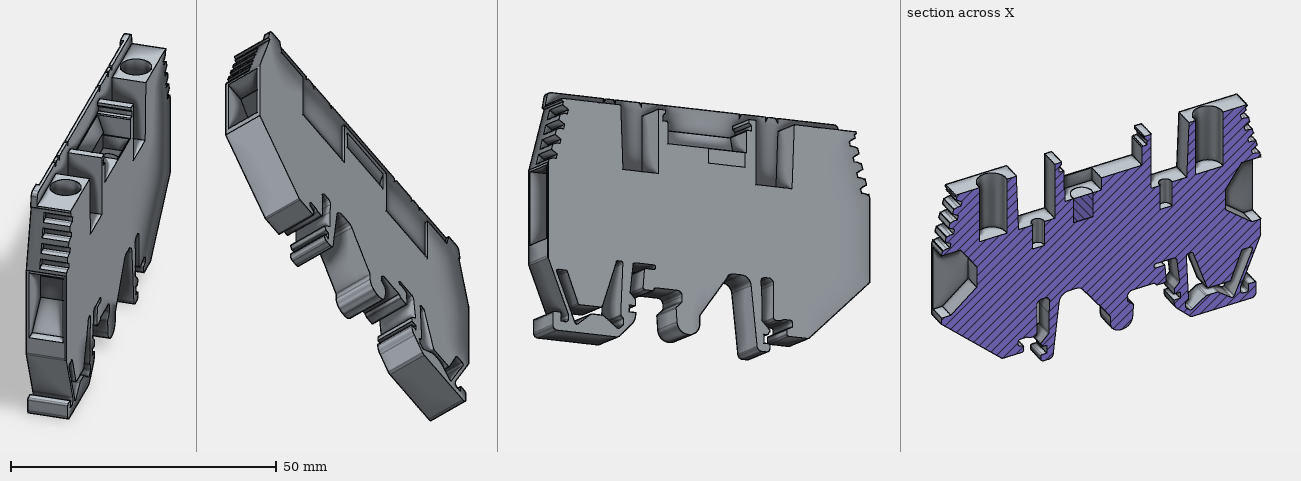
import cadquery as cq
import math

WIDTH = 7.9
HEIGHT = 47.4
HALF_LENGTH = 34.25
DECK_Z = 44.9
SHOULDER_Z = 32.25
SPRING_ROOF_Z = 14.7

WALL_THICK = 1.2
WALL_END_TOP = 30.8
WALL_CORNER_RADIUS = 0.95

LIP_Y = 31.4
LIP_INSET = 0.15
LIP_EDGE_Z = 44.5
LIP_UNDERCUT = 0.4
LIP_ROOT_Z = 44.25

PANEL_DEPTH = 0.6
PANEL_RIM_Z = 44.5
PANEL_FLOOR_Z = 32.5
PANEL_TOP_HALF = 27.7
PANEL_RIM_HALF = 27.05
PANEL_LEGS = ((6.5, 20.15), (-20.75, -7.2))

NOTCHES = ((18.15, 17.55), (15.55, 16.0), (9.9, 10.5), (-10.8, -11.3), (-16.4, -16.85), (-19.0, -18.4))
NOTCH_DEPTH = 0.9

WINDOW_Y = (-6.15, 5.55)
WINDOW_TOP_Z = 43.1
WINDOW_FLOOR_Z = 38.4
WINDOW_SLOPE_END_Z = 38.9
WINDOW_DEPTH = 1.4

BAY_FLOOR_Z = PANEL_FLOOR_Z
BAY_DRAFT = 0.5
BAYS = ((10.0, 18.15), (-10.75, -18.8))

PIT_Y = (-8.7, 7.95)
PIT_MOUTH_OFFSET = 0.55
PIT_MOUTH_LIP_Z = 44.25
PIT_GROOVE_OFFSET = 1.1
PIT_GROOVE_TOP_Z = 43.7
PIT_LEDGE_Z = 42.75
PIT_LEDGE_CHAMFER = 0.2
PIT_FLOOR_Z = WINDOW_FLOOR_Z
PIT_WALL_X = WALL_THICK + WINDOW_DEPTH
POCKET_RIM = 0.2
POCKET_END_Y = 0.0
POCKET_FLOOR_Z = 35.6

SCREW_BORE_DIA = 5.9
SCREW_BORE_X = 4.45
SCREW_BORE_Y = 23.15
SCREW_BORE_FLOOR_Z = BAY_FLOOR_Z
TEST_BORE_DIA = 2.55
TEST_BORE_X = 4.25
TEST_BORE_YS = (13.4, -13.9)
TEST_BORE_DEPTH = 5.5

PIN_DIA = 4.3
PIN_X = 4.6
PIN_Y = 3.85
PIN_LENGTH = 5.5

GRIP_COUNT = 4
GRIP_PITCH_Z = 2.95
GRIP_TOP_Z = 43.65
GRIP_MOUTH_HEIGHT = 1.9
GRIP_DEPTH = 1.2
GRIP_ROOF_DROP = 0.8
GRIP_FLOOR_DROP = 1.65
GRIP_FLOOR_EDGE = 0.35
GRIP_START_X = 2.6

FUNNEL_X = (0.6, 7.25)
FUNNEL_Z = (17.6, 31.8)
FUNNEL_BACK_Z = (22.2, 26.85)
FUNNEL_SILL = 2.0
FUNNEL_CEILING = 4.1
FUNNEL_DEPTH = 7.55

PAD_RAISE = 0.1
PAD_WIDTH = WIDTH - 0.2
PAD_BOTTOM_Z = 13.8
PAD_BEVEL = 0.4

FRONT_Y = -HALF_LENGTH + PAD_RAISE
FRONT_LIP_ROOT_Y = -LIP_Y + LIP_UNDERCUT
SLANT = (FRONT_LIP_ROOT_Y - FRONT_Y) / (LIP_ROOT_Z - SHOULDER_Z)

UPPER_OUTLINE = [
    (FRONT_Y, SHOULDER_Z, 0),
    (FRONT_LIP_ROOT_Y, LIP_ROOT_Z, 0),
    (-LIP_Y, LIP_EDGE_Z, 0),
    (-LIP_Y + LIP_INSET, DECK_Z, 0),
    (LIP_Y - LIP_INSET, DECK_Z, 0),
    (LIP_Y, LIP_EDGE_Z, 0),
    (LIP_Y - LIP_UNDERCUT, LIP_ROOT_Z, 0),
    (HALF_LENGTH, SHOULDER_Z, 0),
    (HALF_LENGTH, 16.1, 0),
]
FIXED_HOOK = [
    (21.25, 3.9, 0.5),
    (16.6, 3.9, 0.4),
    (16.6, 5.3, 0.3),
    (17.75, 5.75, 0.2),
    (17.75, 7.05, 0.4),
    (15.95, 7.05, 0.35),
    (15.2, 6.7, 0.35),
    (13.8, 6.7, 0.5),
    (13.8, SPRING_ROOF_Z, 1.1),
]
SPRING_LEG = [
    (11.0, SPRING_ROOF_Z, 0.9),
    (11.2, 11.1, 0),
    (11.2, 6.45, 0.3),
    (13.1, 4.6, 0.2),
    (12.55, 3.8, 0.2),
    (11.7, 3.8, 0),
    (11.7, 2.05, 0),
    (13.0, 2.05, 0.35),
    (13.0, 0.4, 0.75),
    (10.35, 0.4, 0.95),
    (8.8, SPRING_ROOF_Z, 2.05),
]
CENTRE_FOOT = [
    (4.5, SPRING_ROOF_Z, 1.4),
    (-1.9, 5.95, 0.2),
    (-1.9, 2.05, 2.3),
    (-6.65, 2.05, 2.3),
    (-7.0, 7.0, 0.35),
    (-5.7, 8.2, 0.3),
    (-5.7, 10.35, 1.1),
    (-11.4, 10.35, 0),
    (-11.9, 9.7, 0.3),
    (-14.05, 9.7, 0.4),
    (-13.7, 13.85, 0.3),
    (-11.4, 13.85, 0.4),
    (-11.4, SPRING_ROOF_Z, 0.4),
]
LATCH_FOOT = [
    (-16.1, SPRING_ROOF_Z, 0.6),
    (-16.8, 8.85, 0.35),
    (-15.6, 7.7, 0.2),
    (-15.6, 6.45, 0),
    (-16.9, 6.45, 0),
    (-16.9, 5.15, 0),
    (-15.55, 5.15, 0),
    (-15.6, 3.55, 2.75),
    (-19.25, 0.0, 0.8),
    (-33.2, 0.0, 0.95),
    (-33.2, 3.55, 0.35),
    (-31.5, 3.55, 0.2),
    (-31.5, 1.85, 0.2),
    (-29.9, 1.85, 0.6),
    (-29.9, 3.2, 0.35),
    (FRONT_Y, PAD_BOTTOM_Z, 0),
]
LATCH_OPENING = [
    (-18.3, SPRING_ROOF_Z, 0.4),
    (-19.6, SPRING_ROOF_Z, 0.3),
    (-22.75, 5.4, 0.3),
    (-27.75, 5.4, 0.35),
    (-30.2, 11.8, 0.4),
    (-32.6, 11.8, 0.4),
    (-28.3, 1.4, 0.4),
    (-25.0, 3.9, 0.55),
    (-22.55, 3.9, 0.55),
    (-19.25, 1.6, 0.4),
    (-18.15, 2.55, 0.35),
    (-18.15, 3.7, 0.2),
    (-18.8, 4.25, 0.2),
]


def extrude_yz(sketch, x_start, x_end):
    """Extrude a closed YZ wire drawn at X = 0 between two X positions."""
    return sketch.extrude(x_end - x_start).translate((x_start, 0, 0))


def prism_yz(points, x_start, x_end):
    return extrude_yz(cq.Workplane("YZ").polyline(points).close(), x_start, x_end)


def prism_xz(points, y_range):
    """Extrude a closed XZ polygon along Y over a range."""
    low, high = y_range
    return cq.Workplane("XZ").polyline(points).close().extrude(low - high).translate((0, low, 0))


def box(x_range, y_range, z_range):
    sizes = [high - low for low, high in (x_range, y_range, z_range)]
    return cq.Workplane("XY").box(*sizes, centered=False).translate((x_range[0], y_range[0], z_range[0]))


def cylinder(diameter, x, y, z_low, z_high):
    return cq.Workplane("XY").circle(diameter / 2).extrude(z_high - z_low).translate((x, y, z_low))


def rounded_outline(corners):
    """Closed YZ wire through the corners, each with a tangent arc of its radius."""
    sketch = None
    for index, (y, z, radius) in enumerate(corners):
        corner = cq.Vector(y, z)
        before = cq.Vector(*corners[index - 1][:2])
        after = cq.Vector(*corners[(index + 1) % len(corners)][:2])
        to_before = (before - corner).normalized()
        to_after = (after - corner).normalized()
        half_angle = to_before.getAngle(to_after) / 2
        setback = radius / math.tan(half_angle)
        start = corner + to_before * setback
        if sketch is None:
            sketch = cq.Workplane("YZ").moveTo(start.x, start.y)
        else:
            sketch = sketch.lineTo(start.x, start.y)
        if radius > 0:
            bisector = (to_before + to_after).normalized()
            middle = corner + bisector * (radius / math.sin(half_angle) - radius)
            end = corner + to_after * setback
            sketch = sketch.threePointArc((middle.x, middle.y), (end.x, end.y))
    return sketch.close()


def housing_blank():
    outline = UPPER_OUTLINE + FIXED_HOOK + SPRING_LEG + CENTRE_FOOT + LATCH_FOOT
    blank = extrude_yz(rounded_outline(outline), 0, WIDTH)
    return blank.cut(extrude_yz(rounded_outline(LATCH_OPENING), 0, WIDTH))


def labelling_wall():
    corners = [
        (-LIP_Y, LIP_EDGE_Z, 0),
        (-WALL_END_TOP, HEIGHT, WALL_CORNER_RADIUS),
        (WALL_END_TOP, HEIGHT, WALL_CORNER_RADIUS),
        (LIP_Y, LIP_EDGE_Z, 0),
    ]
    return extrude_yz(rounded_outline(corners), 0, WALL_THICK)


def wall_notches():
    notches = cq.Workplane("YZ")
    for upright_y, slope_y in NOTCHES:
        triangle = [(upright_y, HEIGHT), (upright_y, HEIGHT - NOTCH_DEPTH), (slope_y, HEIGHT)]
        notches = notches.add(prism_yz(triangle, 0, WALL_THICK))
    return notches.combine()


def label_panel():
    rim = [
        (-PANEL_TOP_HALF, HEIGHT),
        (-PANEL_RIM_HALF, PANEL_RIM_Z),
        (PANEL_RIM_HALF, PANEL_RIM_Z),
        (PANEL_TOP_HALF, HEIGHT),
    ]
    panel = prism_yz(rim, 0, PANEL_DEPTH)
    for leg_y in PANEL_LEGS:
        panel = panel.union(box((0, PANEL_DEPTH), leg_y, (PANEL_FLOOR_Z, PANEL_RIM_Z)))
    return panel


def window():
    profile = [
        (0, WINDOW_TOP_Z),
        (WINDOW_DEPTH, WINDOW_SLOPE_END_Z),
        (WINDOW_DEPTH, WINDOW_FLOOR_Z),
        (0, WINDOW_FLOOR_Z),
    ]
    return prism_xz(profile, WINDOW_Y)


def side_bays():
    bays = cq.Workplane("YZ")
    for wall_y, block_y in BAYS:
        foot_y = block_y - math.copysign(BAY_DRAFT, block_y)
        profile = [(wall_y, DECK_Z), (wall_y, BAY_FLOOR_Z), (foot_y, BAY_FLOOR_Z), (block_y, DECK_Z)]
        bays = bays.add(prism_yz(profile, WALL_THICK, WIDTH))
    return bays.combine()


def pit_mouth():
    """Upper part of the pit, with a grooved step in both end walls."""
    low_y, high_y = PIT_Y
    step = [
        (0, PIT_LEDGE_Z - PIT_LEDGE_CHAMFER),
        (PIT_LEDGE_CHAMFER, PIT_LEDGE_Z),
        (PIT_GROOVE_OFFSET, PIT_LEDGE_Z),
        (PIT_GROOVE_OFFSET, PIT_GROOVE_TOP_Z),
        (PIT_MOUTH_OFFSET, PIT_MOUTH_LIP_Z),
        (PIT_MOUTH_OFFSET, DECK_Z),
    ]
    high_end = [(high_y + offset, z) for offset, z in step]
    low_end = [(low_y - offset, z) for offset, z in reversed(step)]
    return prism_yz(high_end + low_end, WALL_THICK, WIDTH)


def middle_pit():
    profile = [
        (WALL_THICK, DECK_Z),
        (WALL_THICK, WINDOW_TOP_Z),
        (PIT_WALL_X, WINDOW_SLOPE_END_Z),
        (PIT_WALL_X, PIT_FLOOR_Z),
        (WIDTH, PIT_FLOOR_Z),
        (WIDTH, DECK_Z),
    ]
    pocket = box(
        (PIT_WALL_X, WIDTH - POCKET_RIM),
        (POCKET_END_Y, PIT_Y[1] - POCKET_RIM),
        (POCKET_FLOOR_Z, PIT_FLOOR_Z),
    )
    return prism_xz(profile, PIT_Y).union(pit_mouth()).union(pocket)


def vertical_bores():
    bores = cq.Workplane("XY")
    for y in (-SCREW_BORE_Y, SCREW_BORE_Y):
        bores = bores.add(cylinder(SCREW_BORE_DIA, SCREW_BORE_X, y, SCREW_BORE_FLOOR_Z, DECK_Z))
    for y in TEST_BORE_YS:
        bores = bores.add(
            cylinder(TEST_BORE_DIA, TEST_BORE_X, y, BAY_FLOOR_Z - TEST_BORE_DEPTH, BAY_FLOOR_Z)
        )
    return bores.combine()


def grip_slot():
    """Slot of the -Y end, with the upper edge of its mouth at the origin."""
    mouth_bottom_y = -GRIP_MOUTH_HEIGHT * SLANT
    back_bottom_y = GRIP_DEPTH - (GRIP_FLOOR_DROP - GRIP_ROOF_DROP) * SLANT
    profile = [
        (0, 0),
        (GRIP_DEPTH, -GRIP_ROOF_DROP),
        (back_bottom_y, -GRIP_FLOOR_DROP),
        (GRIP_FLOOR_EDGE, -GRIP_FLOOR_DROP),
        (mouth_bottom_y, -GRIP_MOUTH_HEIGHT),
        (mouth_bottom_y, 0),
    ]
    return prism_yz(profile, GRIP_START_X, WIDTH)


def grip_slots():
    slots = cq.Workplane("YZ")
    for index in range(GRIP_COUNT):
        z = GRIP_TOP_Z - index * GRIP_PITCH_Z
        y = FRONT_LIP_ROOT_Y - (LIP_ROOT_Z - z) * SLANT
        slot = grip_slot().translate((0, y, z))
        slots = slots.add(slot).add(slot.mirror("XZ"))
    return slots.combine()


def wire_funnels():
    mouth_y = -HALF_LENGTH
    sill_y = mouth_y + FUNNEL_SILL
    ceiling_y = mouth_y + FUNNEL_CEILING
    back_y = mouth_y + FUNNEL_DEPTH
    profile = [
        (mouth_y, FUNNEL_Z[0]),
        (sill_y, FUNNEL_Z[0]),
        (back_y, FUNNEL_BACK_Z[0]),
        (back_y, FUNNEL_BACK_Z[1]),
        (ceiling_y, FUNNEL_Z[1]),
        (mouth_y, FUNNEL_Z[1]),
    ]
    funnel = prism_yz(profile, *FUNNEL_X)
    return funnel.union(funnel.mirror("XZ"))


def funnel_pad():
    profile = [
        (FRONT_Y, PAD_BOTTOM_Z),
        (-HALF_LENGTH, PAD_BOTTOM_Z + PAD_BEVEL),
        (-HALF_LENGTH, SHOULDER_Z),
        (FRONT_Y, SHOULDER_Z),
    ]
    return prism_yz(profile, 0, PAD_WIDTH)


def make_pin():
    return cylinder(PIN_DIA, PIN_X, PIN_Y, POCKET_FLOOR_Z - PIN_LENGTH, POCKET_FLOOR_Z)


def make_housing():
    body = housing_blank().union(labelling_wall()).union(funnel_pad())
    cuts = (
        label_panel(),
        wall_notches(),
        window(),
        side_bays(),
        middle_pit(),
        vertical_bores(),
        grip_slots(),
        wire_funnels(),
        make_pin(),
    )
    for cut in cuts:
        body = body.cut(cut)
    return body


housing = make_housing()
pin = make_pin()
result = cq.Compound.makeCompound([housing.val(), pin.val()])